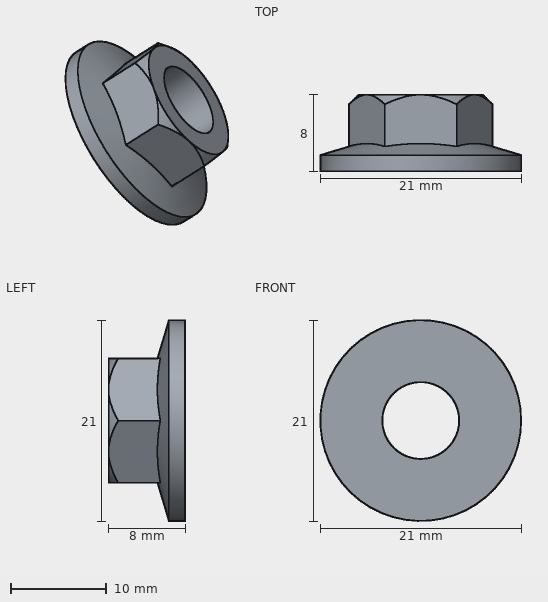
import cadquery as cq
import math

height = 8.0
flange_diameter = 21.0
rim_thickness = 1.7
bore_diameter = 8.0
across_flats = 13.0
cone_slope = 0.3

flange_radius = flange_diameter / 2
flat_radius = across_flats / 2
across_corners = across_flats / math.cos(math.radians(30))
cone_top_radius = bore_diameter / 2
cone_top = rim_thickness + cone_slope * (flange_radius - cone_top_radius)


def revolve_about_y(points):
    """Revolve a closed (radius, Y) outline around the Y axis."""
    return cq.Workplane("XY").polyline(points).close().revolve(360, (0, 0, 0), (0, 1, 0))


def make_flange():
    """Disc with a straight rim and a conical back face."""
    return revolve_about_y([
        (0, 0),
        (flange_radius, 0),
        (flange_radius, rim_thickness),
        (cone_top_radius, cone_top),
        (0, cone_top),
    ])


def make_hex():
    """Hexagon with corners along X, its end chamfered at 45 degrees down to the flats."""
    prism = cq.Workplane("XZ").polygon(6, across_corners).extrude(-height)
    chamfer_envelope = revolve_about_y([
        (0, 0),
        (flat_radius + height, 0),
        (flat_radius, height),
        (0, height),
    ])
    return prism.intersect(chamfer_envelope)


bore = cq.Workplane("XZ").circle(bore_diameter / 2).extrude(-height)
result = make_flange().union(make_hex()).cut(bore)